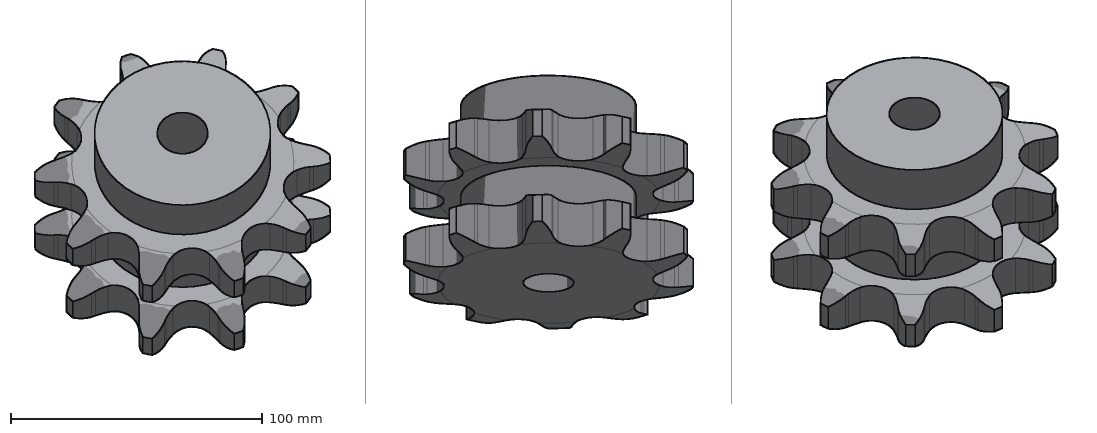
import cadquery as cq
import math


TEETH = 10
PITCH_DIAMETER = 102.7
ROLLER_DIAMETER = 19.1
OUTER_RADIUS = 59.0
SEAT_CLEARANCE = 0.077
WORK_CLEARANCE = 0.038

PLATE_THICKNESS = 18.2
STRAND_SPACING = 36.4
FLAT_RADIUS = 44.2
TIP_WIDTH = 11.3

HUB_DIAMETER = 70.0
BORE_DIAMETER = 20.0
TOTAL_HEIGHT = 75.0

PITCH_ANGLE = 360.0 / TEETH
PITCH_RADIUS = PITCH_DIAMETER / 2
AXIS = (0, 0)


def polar(centre, radius, degrees):
    """Point at a given radius and direction from a centre."""
    angle = math.radians(degrees)
    return (centre[0] + radius * math.cos(angle), centre[1] + radius * math.sin(angle))


def direction(start, end):
    """Direction in degrees from one point to another."""
    return math.degrees(math.atan2(end[1] - start[1], end[0] - start[0]))


def mirrored(point):
    """Point reflected across the centreline of the tooth gap."""
    return (-point[0], point[1])


def rotated(point, degrees):
    """Point turned about the sprocket axis."""
    return polar(AXIS, math.hypot(*point), direction(AXIS, point) + degrees)


def gap_arcs():
    """Segments of one tooth gap centred on +Y, from its right tip to its left tip.

    Each segment is (middle point, end point); a straight one has None as its middle point.
    """
    seat_angle = 35 + 60 / TEETH
    work_angle = 18 - 56 / TEETH
    flank_angle = 17 - 64 / TEETH
    seat_radius = (1.0005 * ROLLER_DIAMETER + SEAT_CLEARANCE) / 2
    work_radius = 1.3025 * ROLLER_DIAMETER + WORK_CLEARANCE
    work_offset = 0.8 * ROLLER_DIAMETER
    tip_offset = 1.4 * ROLLER_DIAMETER
    tip_arc_radius = (
        work_offset * math.cos(math.radians(work_angle))
        + tip_offset * math.cos(math.radians(flank_angle))
        - work_radius
    )
    line_length = (
        tip_offset * math.sin(math.radians(flank_angle))
        - work_offset * math.sin(math.radians(work_angle))
    )

    roller_centre = (0, PITCH_RADIUS)
    work_centre = polar(roller_centre, work_offset, 180 - seat_angle)
    tip_centre = polar(roller_centre, tip_offset, -PITCH_ANGLE / 2)
    line_angle = work_angle - seat_angle
    root = (0, PITCH_RADIUS - seat_radius)
    seat_end = polar(roller_centre, seat_radius, -seat_angle)
    work_middle = polar(work_centre, work_radius, -seat_angle + work_angle / 2)
    work_end = polar(work_centre, work_radius, line_angle)
    line_end = polar(work_end, line_length, line_angle + 90)

    centre_distance = math.hypot(*tip_centre)
    centre_angle = direction(AXIS, tip_centre)
    tip_turn = math.degrees(math.acos(
        (OUTER_RADIUS**2 + centre_distance**2 - tip_arc_radius**2)
        / (2 * OUTER_RADIUS * centre_distance)
    ))
    tip = polar(AXIS, OUTER_RADIUS, centre_angle + tip_turn)
    start_angle = direction(tip_centre, line_end)
    end_angle = direction(tip_centre, tip)
    tip_middle = polar(tip_centre, tip_arc_radius, (start_angle % 360 + end_angle % 360) / 2)

    segments = [
        (tip_middle, line_end),
        (None, work_end),
        (work_middle, seat_end),
        (root, mirrored(seat_end)),
        (mirrored(work_middle), mirrored(work_end)),
        (None, mirrored(line_end)),
        (mirrored(tip_middle), mirrored(tip)),
    ]
    return tip, segments


def tooth_prism():
    """Toothed outline with teeth on the X axis, extruded to the plate thickness."""
    tip, segments = gap_arcs()
    outline = cq.Workplane("XY").moveTo(*tip)
    for index in range(TEETH):
        turn = index * PITCH_ANGLE
        for middle, end in segments:
            if middle is None:
                outline = outline.lineTo(*rotated(end, turn))
            else:
                outline = outline.threePointArc(rotated(middle, turn), rotated(end, turn))
        tooth_centre = polar(AXIS, OUTER_RADIUS, 90 + PITCH_ANGLE / 2 + turn)
        outline = outline.threePointArc(tooth_centre, rotated(tip, turn + PITCH_ANGLE))
    return outline.close().extrude(PLATE_THICKNESS)


def plate_blank():
    """Disc whose faces curve in from the flat area to the narrower tooth tips."""
    reach = OUTER_RADIUS - FLAT_RADIUS
    drop = (PLATE_THICKNESS - TIP_WIDTH) / 2
    side_radius = (reach**2 + drop**2) / (2 * drop)
    sweep = math.degrees(math.asin(reach / side_radius))
    bottom_middle = polar((FLAT_RADIUS, side_radius), side_radius, -90 + sweep / 2)
    top_middle = (bottom_middle[0], PLATE_THICKNESS - bottom_middle[1])
    return (
        cq.Workplane("XZ")
        .lineTo(FLAT_RADIUS, 0)
        .threePointArc(bottom_middle, (OUTER_RADIUS, drop))
        .lineTo(OUTER_RADIUS, PLATE_THICKNESS - drop)
        .threePointArc(top_middle, (FLAT_RADIUS, PLATE_THICKNESS))
        .lineTo(0, PLATE_THICKNESS)
        .close()
        .revolve(360, (0, 0, 0), (0, 1, 0))
    )


plate = plate_blank().intersect(tooth_prism())
hub = cq.Workplane("XY").circle(HUB_DIAMETER / 2).extrude(TOTAL_HEIGHT)
bore = cq.Workplane("XY").circle(BORE_DIAMETER / 2).extrude(TOTAL_HEIGHT)

result = hub.union(plate).union(plate.translate((0, 0, STRAND_SPACING))).cut(bore)